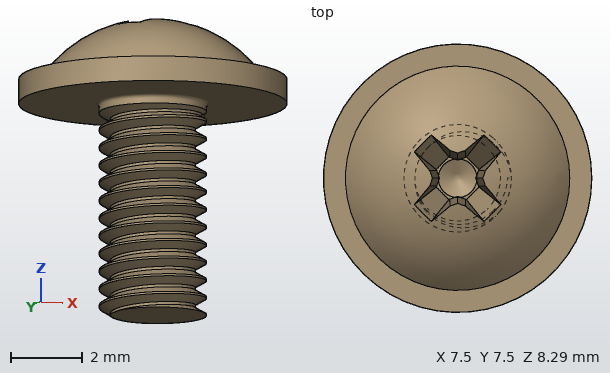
import cadquery as cq
import math

flange_radius = 7.5 / 2
flange_bottom = 6.0
flange_top = 6.7
dome_edge_radius = 3.13
dome_radius = 3.79
shank_radius = 3.0 / 2
neck_fillet = 0.1

pitch = shank_radius / 3
thread_depth = 0.31
root_flat = 0.08
crest_flat = 0.06
groove_center = 0.025
turns_above = 11
turns_below = 2
runout_turns = 0.5
overcut = 0.025

recess_floor = 6.425
recess_top = 8.37
floor_valley = 0.505
top_valley = 0.71
wing_root_floor = (0.57, 0.26)
wing_tip_floor = (0.6, 0.25)
wing_root_top = (0.705, 0.41)
wing_tip_top = (1.51, 0.35)
cone_radius = 0.54
cone_depth = 0.29


def make_head():
    """Flat flange with a spherical dome above it and a small fillet below, around the shank."""
    dome_center = flange_top - math.sqrt(dome_radius**2 - dome_edge_radius**2)
    apex = dome_center + dome_radius
    mid_radius = dome_edge_radius / 2
    mid_height = dome_center + math.sqrt(dome_radius**2 - mid_radius**2)
    return (
        cq.Workplane("XZ")
        .moveTo(0, flange_bottom - neck_fillet)
        .lineTo(shank_radius, flange_bottom - neck_fillet)
        .radiusArc((shank_radius + neck_fillet, flange_bottom), neck_fillet)
        .lineTo(flange_radius, flange_bottom)
        .lineTo(flange_radius, flange_top)
        .lineTo(dome_edge_radius, flange_top)
        .threePointArc((mid_radius, mid_height), (0, apex))
        .close()
        .revolve(360, (0, 0, 0), (0, 1, 0))
    )


def make_groove_pieces():
    """One-turn pieces of a helical V groove, the last fading out below the head."""
    root_radius = shank_radius - thread_depth
    mouth = pitch - crest_flat
    flank_slope = (mouth - root_flat) / 2 / thread_depth
    half_mouth = mouth / 2 + flank_slope * overcut
    outer = shank_radius + overcut

    def sweep_groove(height, length, cone_angle=360):
        profile = (
            cq.Workplane("XZ")
            .polyline([
                (root_radius, height - root_flat / 2),
                (outer, height - half_mouth),
                (outer, height + half_mouth),
                (root_radius, height + root_flat / 2),
            ])
            .close()
        )
        helix = cq.Wire.makeHelix(pitch, length, root_radius, angle=cone_angle)
        path = helix.translate(cq.Vector(0, 0, height))
        groove = profile.sweep(cq.Workplane(path), isFrenet=True)
        return groove.rotate((0, 0, 0), (0, 0, 1), 180)

    pieces = [
        sweep_groove(groove_center + turn * pitch, pitch)
        for turn in range(-turns_below, turns_above)
    ]
    runout_rise = runout_turns * pitch
    runout_angle = math.degrees(math.atan((thread_depth + overcut) / runout_rise))
    runout_start = groove_center + turns_above * pitch
    pieces.append(sweep_groove(runout_start, runout_rise, runout_angle))
    return pieces


def recess_outline(valley, root, tip):
    """Four-winged outline; root and tip are (distance, half width) along each wing."""
    points = []
    for quarter in range(4):
        wing = math.radians(45 + 90 * quarter)
        ridge = wing - math.radians(45)
        points.append((valley * math.cos(ridge), valley * math.sin(ridge)))
        sides = [(root, -1), (tip, -1), (tip, 1), (root, 1)]
        for (along, half_width), side in sides:
            across = side * half_width
            points.append((
                along * math.cos(wing) - across * math.sin(wing),
                along * math.sin(wing) + across * math.cos(wing),
            ))
    return points


def make_recess():
    """Tapered cross recess with a conical bottom."""
    wings = (
        cq.Workplane("XY")
        .workplane(offset=recess_floor)
        .polyline(recess_outline(floor_valley, wing_root_floor, wing_tip_floor))
        .close()
        .workplane(offset=recess_top - recess_floor)
        .polyline(recess_outline(top_valley, wing_root_top, wing_tip_top))
        .close()
        .loft(ruled=True)
    )
    cone = cq.Solid.makeCone(
        cone_radius, 0, cone_depth, cq.Vector(0, 0, recess_floor), cq.Vector(0, 0, -1)
    )
    return wings.union(cq.Workplane(cone))


shank = cq.Workplane("XY").circle(shank_radius).extrude(flange_bottom)
for piece in make_groove_pieces():
    shank = shank.cut(piece)
screw = shank.union(make_head())
result = screw.cut(make_recess())